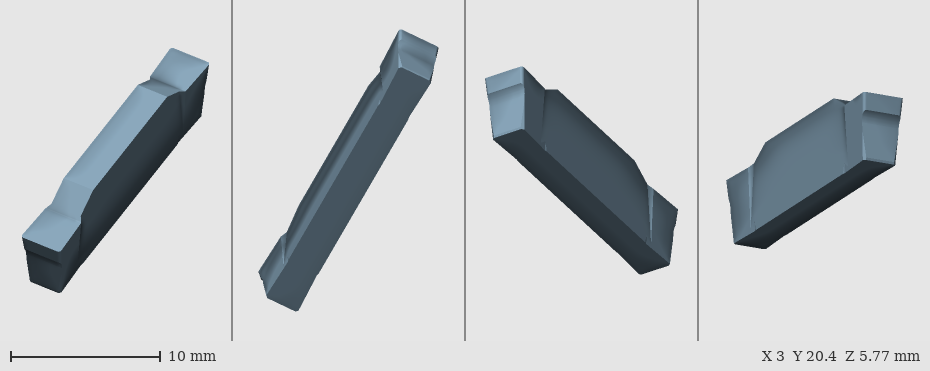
import cadquery as cq
import math

length = 20.4
height = 5.77
tip_width = 3.02
body_width = 2.26

tip_y = length / 2
head_z = 4.6
crest_y = 5.02
ramp_angle = math.radians(30)
ramp_foot_y = crest_y + (height - head_z) / math.tan(ramp_angle)
ramp_fillet = 0.2
lip_y, lip_z = 10.04, 3.39
face_y, face_z = 9.7, 2.6
heel_y, heel_z = 9.67, 0.16
base_y = 9.63
undercut_mid_y, undercut_mid_z = 9.8, 3.04

neck_y = 7.08
neck_base_y = 7.18
side_taper = 0.133 / (tip_y - neck_y)
side_draft = 0.27 / head_z
flare_length = 0.35
flare_width = 0.235
flare_top_z = 5.1
corner_radius = 0.2

bevel_top_z = 2.05
bevel_depth_x = 0.2
bevel_depth_y = 0.18
relief_y = 6.59
relief_runout_y = 6.4

half_body = body_width / 2


def half_width(y, z):
    """Half width of a head on its tapered and drafted flank."""
    return tip_width / 2 - side_taper * (tip_y - y) - side_draft * (head_z - z)


def flank_meets_body(y):
    """Height at which the head flank crosses the side of the body."""
    return head_z + (half_body - half_width(y, head_z)) / side_draft


def polyhedron(faces):
    """Solid bounded by flat faces, each given as a list of corner points."""
    boundary = [cq.Face.makeFromWires(cq.Wire.makePolygon([cq.Vector(*p) for p in face], close=True))
                for face in faces]
    return cq.Workplane(cq.Solid.makeSolid(cq.Shell.makeShell(boundary)))


def tetrahedron(a, b, c, d):
    return polyhedron([[a, b, c], [a, b, d], [a, c, d], [b, c, d]])


def both_sides(shape):
    return shape.union(shape.mirror("YZ"))


def side_profile():
    outline = (
        cq.Workplane("YZ")
        .moveTo(0, 0)
        .lineTo(base_y, 0)
        .lineTo(heel_y, heel_z)
        .lineTo(face_y, face_z)
        .threePointArc((undercut_mid_y, undercut_mid_z), (lip_y, lip_z))
        .lineTo(tip_y, head_z)
        .lineTo(ramp_foot_y, head_z)
        .lineTo(crest_y, height)
        .lineTo(0, height)
        .close()
        .extrude(tip_width, both=True)
    )
    foot = cq.selectors.NearestToPointSelector((0, ramp_foot_y, head_z))
    return outline.edges(foot).fillet(ramp_fillet)


def head_plan(z):
    """Head outline at height z, from the tip back through the flare."""
    edge_y = neck_base_y + (neck_y - neck_base_y) * z / head_z
    neck = half_width(edge_y, z)
    right = [
        (half_width(tip_y, z), tip_y),
        (neck, edge_y),
        (neck - flare_width, edge_y - flare_length),
    ]
    left = [(-x, y) for x, y in reversed(right)]
    return [(x, y, z) for x, y in right + left]


def head_block():
    wires = [cq.Wire.makePolygon([cq.Vector(*p) for p in head_plan(z)], close=True)
             for z in (0, flare_top_z)]
    return cq.Workplane(cq.Solid.makeLoft(wires, True))


def corner_bevel():
    """Wedge that widens downward on a lower front corner."""
    apex_y = heel_y + (face_y - heel_y) * (bevel_top_z - heel_z) / (face_z - heel_z)
    apex = (half_width(apex_y, bevel_top_z), apex_y, bevel_top_z)
    corner_x = half_width(heel_y, 0)
    on_face = (corner_x - bevel_depth_x, heel_y, 0)
    on_flank = (half_width(heel_y - bevel_depth_y, 0), heel_y - bevel_depth_y, 0)
    outside = (tip_width, length, 0)
    return tetrahedron(apex, on_face, on_flank, outside)


def neck_relief():
    """Sliver where the head flank continues into the body, with its run-out."""
    low = (half_body, neck_base_y, flank_meets_body(neck_base_y))
    high = (half_body, relief_y, flank_meets_body(relief_y))
    low_inner = (half_width(neck_base_y, 0), neck_base_y, 0)
    high_inner = (half_width(relief_y, 0), relief_y, 0)
    low_outer = (half_body, neck_base_y, 0)
    high_outer = (half_body, relief_y, 0)
    wedge = polyhedron([
        [low, low_inner, low_outer],
        [high, high_inner, high_outer],
        [low, high, high_inner, low_inner],
        [low, high, high_outer, low_outer],
        [low_inner, high_inner, high_outer, low_outer],
    ])
    runout = tetrahedron(high, high_inner, high_outer, (half_body, relief_runout_y, 0))
    return wedge.union(runout)


def half_insert():
    body = cq.Workplane().box(body_width, neck_base_y, height, centered=(True, False, False))
    body = body.cut(both_sides(neck_relief()))
    half = body.union(head_block()).intersect(side_profile())
    lip_middle_y = (lip_y + tip_y) / 2
    lip_middle_z = (lip_z + head_z) / 2
    for side in (-1, 1):
        corner_x = side * half_width(lip_middle_y, lip_middle_z)
        lip_corner = cq.selectors.NearestToPointSelector((corner_x, lip_middle_y, lip_middle_z))
        half = half.edges(lip_corner).fillet(corner_radius)
    return half.cut(both_sides(corner_bevel()))


half = half_insert()
result = half.union(half.mirror("XZ"))